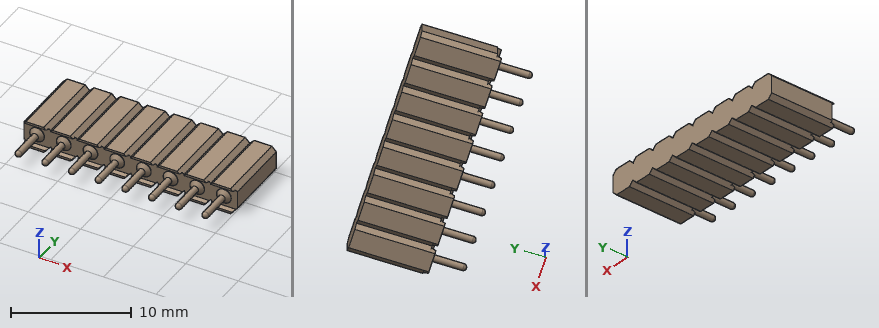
import cadquery as cq

pin_count = 8
row_length = 20.32
pitch = row_length / pin_count
height = 2.55
housing_depth = 7.0
groove_depth = 0.43

lip_length = 0.4
lip_tip_thickness = 0.2
lip_root_thickness = 0.3

pin_radius = 0.3
pin_projection = 3.0
collar_radius = 0.7
collar_rim = 0.05
collar_length = 0.35
collar_embedding = 0.06

half_height = height / 2
pin_face_y = lip_length


def make_housing():
    """Row of octagonal cells, one per pin, joined side by side."""
    valley_z = half_height - groove_depth
    top_points = [(0, valley_z)]
    for index in range(pin_count):
        cell_start = index * pitch
        cell_end = cell_start + pitch
        top_points.append((cell_start + groove_depth, half_height))
        top_points.append((cell_end - groove_depth, half_height))
        top_points.append((cell_end, valley_z))
    bottom_points = [(x, -z) for x, z in reversed(top_points)]
    return (
        cq.Workplane("XZ")
        .polyline(top_points + bottom_points)
        .close()
        .extrude(-housing_depth)
    )


def make_lip_recess():
    """Full-length recess between the tapered lips, in front of the pin face."""
    tip_z = half_height - lip_tip_thickness
    root_z = half_height - lip_root_thickness
    return (
        cq.Workplane("YZ")
        .polyline([(0, -tip_z), (pin_face_y, -root_z), (pin_face_y, root_z), (0, tip_z)])
        .close()
        .extrude(row_length)
    )


def make_pin(x):
    """Collar, cone and round-ended pin turned about an axis along Y."""
    rim_y = pin_face_y - collar_rim
    cone_end_y = pin_face_y - collar_length
    tip_y = -pin_projection
    dome_y = tip_y + pin_radius
    dome_mid = pin_radius * 0.5 ** 0.5
    root_y = pin_face_y + collar_embedding
    return (
        cq.Workplane("XY")
        .moveTo(0, root_y)
        .lineTo(collar_radius, root_y)
        .lineTo(collar_radius, rim_y)
        .lineTo(pin_radius, cone_end_y)
        .lineTo(pin_radius, dome_y)
        .threePointArc((dome_mid, dome_y - dome_mid), (0, tip_y))
        .close()
        .revolve(360, (0, 0), (0, 1))
        .translate((x, 0, 0))
    )


result = make_housing().cut(make_lip_recess())
for pin_index in range(pin_count):
    result = result.union(make_pin((pin_index + 0.5) * pitch))